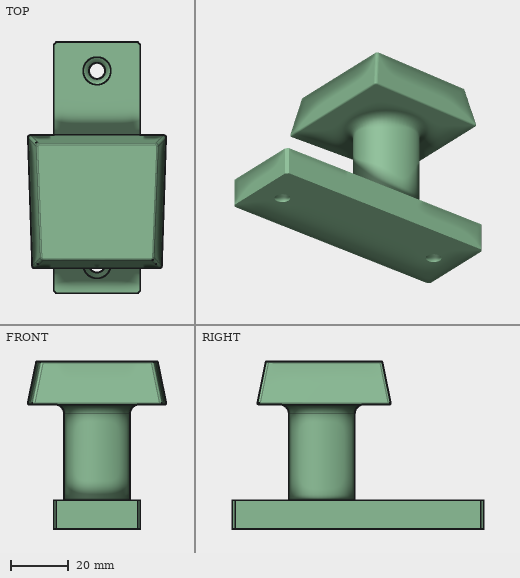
import cadquery as cq

PLATE_WIDTH = 30.0
PLATE_LENGTH = 87.0
PLATE_THICKNESS = 10.0
PLATE_CORNER_CHAMFER = 1.0

SCREW_HOLE_DIAMETER = 5.5
COUNTERSINK_DIAMETER = 9.6
COUNTERSINK_ANGLE = 90.0
SCREW_HOLE_END_DISTANCE = 10.0

OVERALL_HEIGHT = 58.0
POST_Y = -12.5
POST_DIAMETER = 23.0
POST_FOOT_FILLET = 0.5
NECK_FILLET = 3.05
HEAD_HEIGHT = 15.0
HEAD_BACK_WIDTH = 48.2
HEAD_FRONT_WIDTH = 45.15
HEAD_DEPTH = 46.4
HEAD_Y = -11.75
HEAD_INSET = 3.05
HEAD_CORNER_FILLET = 1.0
HEAD_RIM_FILLET = 0.5

head_bottom_z = OVERALL_HEIGHT - HEAD_HEIGHT


def make_base():
    """Plate with chamfered vertical corners and two countersunk through holes."""
    plate = (
        cq.Workplane("XY")
        .box(PLATE_WIDTH, PLATE_LENGTH, PLATE_THICKNESS, centered=(True, True, False))
        .edges("|Z")
        .chamfer(PLATE_CORNER_CHAMFER)
    )
    hole_y = PLATE_LENGTH / 2 - SCREW_HOLE_END_DISTANCE
    return (
        plate.faces(">Z")
        .workplane(origin=(0, 0, PLATE_THICKNESS))
        .pushPoints([(0, -hole_y), (0, hole_y)])
        .cskHole(SCREW_HOLE_DIAMETER, COUNTERSINK_DIAMETER, COUNTERSINK_ANGLE)
    )


def head_outline(inset):
    """Corner points of the head's trapezoid, with every side moved inward by the inset."""
    half_depth = HEAD_DEPTH / 2 - inset
    half_front = HEAD_FRONT_WIDTH / 2 - inset
    half_back = HEAD_BACK_WIDTH / 2 - inset
    return [
        (-half_front, HEAD_Y - half_depth),
        (half_front, HEAD_Y - half_depth),
        (half_back, HEAD_Y + half_depth),
        (-half_back, HEAD_Y + half_depth),
    ]


def make_head():
    """Tapered head with rounded corners and finely rounded top and bottom rims."""
    head = (
        cq.Workplane("XY", origin=(0, 0, head_bottom_z))
        .polyline(head_outline(0))
        .close()
        .workplane(offset=HEAD_HEIGHT)
        .polyline(head_outline(HEAD_INSET))
        .close()
        .loft(ruled=True)
    )
    slanted_corners = head.edges("not #Z")
    rounded_head = slanted_corners.fillet(HEAD_CORNER_FILLET)
    return rounded_head.faces("<Z or >Z").edges().fillet(HEAD_RIM_FILLET)


def make_knob():
    """Post standing on the plate, flared by a fillet into the underside of the head."""
    post = (
        cq.Workplane("XY", origin=(0, POST_Y, PLATE_THICKNESS))
        .circle(POST_DIAMETER / 2)
        .extrude(head_bottom_z - PLATE_THICKNESS)
        .faces("<Z")
        .edges()
        .fillet(POST_FOOT_FILLET)
    )
    knob = make_head().union(post)
    neck_edge = knob.edges("%CIRCLE").edges(
        cq.NearestToPointSelector((0, POST_Y, head_bottom_z))
    )
    return neck_edge.fillet(NECK_FILLET)


base = make_base()
knob = make_knob()
result = cq.Compound.makeCompound([base.val(), knob.val()])